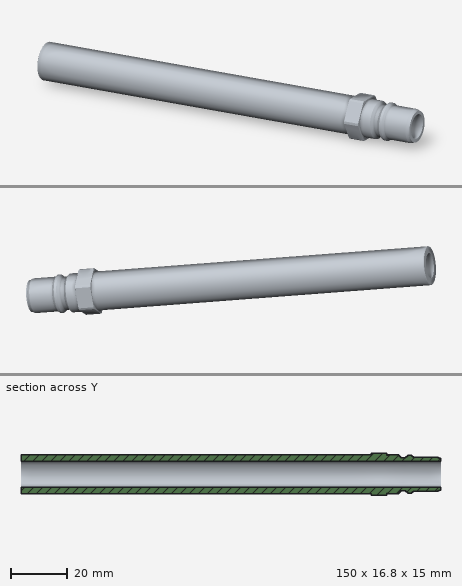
import cadquery as cq
import math

total_length = 150.0
tube_diameter = 14.0
bore_diameter = 9.0
rim_chamfer = 0.2

hex_start = 125.0
hex_length = 5.7
hex_end = hex_start + hex_length
hex_across_flats = 15.0
hex_across_corners = 16.8

neck_diameter = 13.8
neck_length = 0.5

shoulder_end = 134.7
shoulder_chamfer_length = 1.0

groove_diameter = 11.8
groove_start = shoulder_end + shoulder_chamfer_length
groove_end = 137.1
ridge_diameter = 13.8
ridge_start = 138.3
ridge_width = 0.9
ridge_slope_length = 0.9

tip_diameter = 12.5
tip_end_diameter = 11.5
tip_chamfer_start = total_length - 1.4
tip_land_length = 0.5


def make_body():
    """Turn the outside of the tube, neck, shoulder, groove, ridge and tip about X."""
    ridge_end = ridge_start + ridge_width
    return (
        cq.Workplane("XY")
        .lineTo(0, tube_diameter / 2 - rim_chamfer)
        .lineTo(rim_chamfer, tube_diameter / 2)
        .lineTo(hex_end, tube_diameter / 2)
        .lineTo(hex_end, neck_diameter / 2)
        .lineTo(hex_end + neck_length, neck_diameter / 2)
        .lineTo(hex_end + neck_length, tube_diameter / 2)
        .lineTo(shoulder_end, tube_diameter / 2)
        .lineTo(groove_start, groove_diameter / 2)
        .lineTo(groove_end, groove_diameter / 2)
        .lineTo(ridge_start, ridge_diameter / 2)
        .lineTo(ridge_end, ridge_diameter / 2)
        .lineTo(ridge_end + ridge_slope_length, tip_diameter / 2)
        .lineTo(tip_chamfer_start, tip_diameter / 2)
        .lineTo(total_length - tip_land_length, tip_end_diameter / 2)
        .lineTo(total_length, tip_end_diameter / 2)
        .lineTo(total_length, 0)
        .close()
        .revolve(360, (0, 0, 0), (1, 0, 0))
    )


def make_hex():
    """Make the hexagon with corners on Y, flats on Z and corners turned to a round."""
    sharp_corner_diameter = hex_across_flats / math.cos(math.pi / 6)
    base = cq.Workplane("YZ", origin=(hex_start, 0, 0))
    prism = base.polygon(6, sharp_corner_diameter).extrude(hex_length)
    corner_round = base.circle(hex_across_corners / 2).extrude(hex_length)
    return prism.intersect(corner_round)


bore = cq.Workplane("YZ").circle(bore_diameter / 2).extrude(total_length)
result = make_body().union(make_hex()).cut(bore)